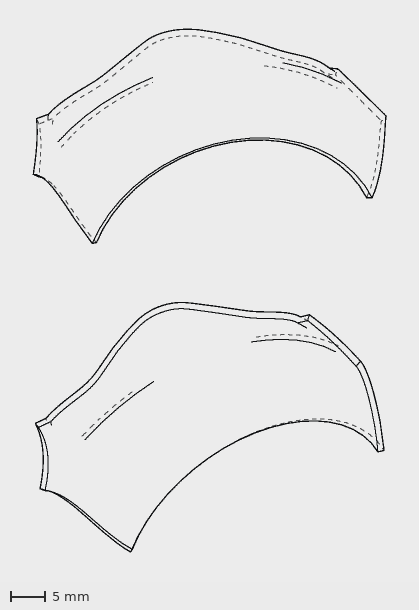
import cadquery as cq

THICKNESS = 1.0

RIDGE_X = -0.2
RIDGE_ARCH = [
    (RIDGE_X, 25.3, -4.6),
    (RIDGE_X, 17.5, 3.1),
    (RIDGE_X, 9.2, 7.35),
    (RIDGE_X, -0.8, 9.0),
    (RIDGE_X, -10.0, 7.45),
    (RIDGE_X, -18.5, 3.1),
    (RIDGE_X, -25.4, -4.3),
]
TIP_LEFT = (RIDGE_X, 26.755, -6.2)
TIP_RIGHT = (RIDGE_X, -26.755, -6.2)

REAR_TOP = (15.25, -0.9, 6.02)
REAR_LEFT = (15.5, 20.3, -8.5)
REAR_RIGHT = (15.4, -22.1, -8.5)

REAR_SIDE_LEFT = [(4.8, 25.2, -4.84), (9.9, 23.4, -6.0)]
REAR_SIDE_RIGHT = [(4.8, -25.5, -4.84), (9.9, -24.1, -6.1)]

FRONT_EDGE = [
    (-9.52, 20.6, -2.9),
    (-8.95, 16.9, 0.32),
    (-9.23, 13.6, 1.75),
    (-11.45, 9.2, 3.0),
    (-13.5, 5.2, 3.65),
    (-15.3, 0.7, 3.97),
    (-15.55, -1.7, 3.97),
    (-15.0, -4.7, 3.8),
    (-13.3, -7.7, 3.37),
    (-11.45, -11.0, 2.7),
    (-10.04, -13.8, 1.9),
    (-9.35, -17.0, 0.75),
    (-9.5, -21.9, -2.9),
]

CREASE_LEFT = (-3.2, 23.5, -3.05)
CREASE_RIGHT = (-3.3, -24.1, -3.1)
LIP_LEFT = (-2.8, 24.8, -4.5)
LIP_RIGHT = (-3.2, -25.5, -4.5)
LIP_CORNER_LEFT = (-10.04, 22.1, -3.7)
LIP_CORNER_RIGHT = (-9.95, -23.6, -3.7)

FRONT_CREST = [(-12.1, -1.5, 5.75), (-8.66, -1.0, 7.3), (-4.6, -0.5, 8.44)]
REAR_CREST = [(4.8, -0.2, 8.66), (8.8, -0.5, 7.85)]

FILL_DEGREE = 2
FILL_MAX_PATCHES = 4


def line(start, end):
    """Straight edge between two points."""
    return cq.Edge.makeLine(cq.Vector(start), cq.Vector(end))


def curve(points):
    """Smooth curve through the points."""
    return cq.Edge.makeSpline([cq.Vector(p) for p in points])


def arc(points):
    """Circular arc through three points."""
    return cq.Edge.makeThreePointArc(*[cq.Vector(p) for p in points])


def panel(edges, inside_points):
    """Smooth face bounded by the edges and passing through the inside points."""
    constraints = [cq.Vector(p) for p in inside_points]
    return cq.Face.makeNSidedSurface(edges, constraints, degree=FILL_DEGREE, maxSegments=FILL_MAX_PATCHES)


def skin(ridge_arch, tips, rear_arch, rear_sides, front_edge, creases, lips, crests):
    """Faces of one skin, and its free edges in order round the rim."""
    ridge_left = line(tips[0], ridge_arch[0])
    ridge_middle = curve(ridge_arch)
    ridge_right = line(ridge_arch[-1], tips[1])

    rear_edge = arc(rear_arch)
    side_left = curve([tips[0], *rear_sides[0], rear_arch[0]])
    side_right = curve([tips[1], *rear_sides[1], rear_arch[-1]])
    nose_edge = curve(front_edge)
    crease_left = curve([ridge_arch[0], creases[0], front_edge[0]])
    crease_right = curve([ridge_arch[-1], creases[1], front_edge[-1]])
    lip_left = curve([tips[0], *lips[0]])
    lip_right = curve([tips[1], *lips[1]])
    lip_end_left = line(front_edge[0], lips[0][-1])
    lip_end_right = line(front_edge[-1], lips[1][-1])

    ridge = [ridge_left, ridge_middle, ridge_right]
    faces = [
        panel([*ridge, side_right, rear_edge, side_left], crests[0]),
        panel([ridge_middle, crease_right, nose_edge, crease_left], crests[1]),
        cq.Face.makeRuledSurface(crease_left, lip_left),
        cq.Face.makeRuledSurface(crease_right, lip_right),
    ]
    rim = [rear_edge, side_left, lip_left, lip_end_left, nose_edge, lip_end_right, lip_right, side_right]
    return faces, rim


def inward(face, points):
    """The points moved one thickness below the face, along its normal."""
    moved = []
    for point in points:
        normal = face.normalAt(cq.Vector(point))
        down = normal if normal.z < 0 else -normal
        moved.append((cq.Vector(point) + down * THICKNESS).toTuple())
    return moved


outer_faces, outer_rim = skin(
    RIDGE_ARCH,
    [TIP_LEFT, TIP_RIGHT],
    [REAR_LEFT, REAR_TOP, REAR_RIGHT],
    [REAR_SIDE_LEFT, REAR_SIDE_RIGHT],
    FRONT_EDGE,
    [CREASE_LEFT, CREASE_RIGHT],
    [[LIP_LEFT, LIP_CORNER_LEFT], [LIP_RIGHT, LIP_CORNER_RIGHT]],
    [REAR_CREST, FRONT_CREST],
)
rear_panel, front_panel, lip_face_left, lip_face_right = outer_faces

inner_faces, inner_rim = skin(
    inward(rear_panel, RIDGE_ARCH),
    inward(rear_panel, [TIP_LEFT, TIP_RIGHT]),
    inward(rear_panel, [REAR_LEFT, REAR_TOP, REAR_RIGHT]),
    [inward(rear_panel, REAR_SIDE_LEFT), inward(rear_panel, REAR_SIDE_RIGHT)],
    inward(front_panel, FRONT_EDGE),
    inward(front_panel, [CREASE_LEFT, CREASE_RIGHT]),
    [
        inward(lip_face_left, [LIP_LEFT, LIP_CORNER_LEFT]),
        inward(lip_face_right, [LIP_RIGHT, LIP_CORNER_RIGHT]),
    ],
    [inward(rear_panel, REAR_CREST), inward(front_panel, FRONT_CREST)],
)

rim_faces = [cq.Face.makeRuledSurface(outer, inner) for outer, inner in zip(outer_rim, inner_rim)]
skin_shell = cq.Shell.makeShell([*outer_faces, *inner_faces, *rim_faces])
result = cq.Workplane("XY").newObject([cq.Solid.makeSolid(skin_shell)])